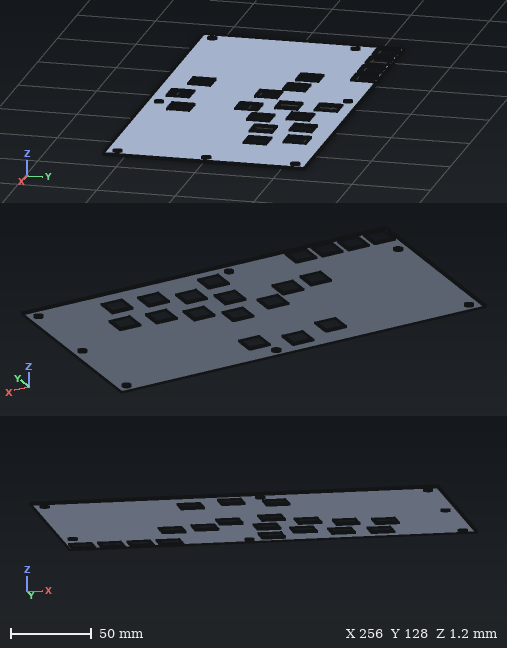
import cadquery as cq

length = 256.0
width = 128.0
thickness = 1.2

cutout_side = 14.0

menu_key_count = 4
menu_key_pitch = 18.5
first_menu_key_x = -118.5
menu_key_y = 54.8

direction_keys = [(-55.5, 21.8), (-34.3, 18.7), (-16.5, 5.5)]

upper_action_keys = [(3.8, 23.3), (24.3, 35.8), (46.8, 43.3), (71.2, 45.5)]
lower_row_shift_x = 7.5
lower_row_shift_y = -23.5
extra_action_key = (2.0, 48.0)

thumb_center_x = -4.9
thumb_spacing = 27.0
outer_thumb_y = -41.0
middle_thumb_y = -48.0

hole_diameter = 5.0
hole_inset = 7.5
back_hole_x = -13.5
left_hole_y = 34.5
front_hole_x = 15.0


def key_centers():
    """Return the centres of all the key cutouts."""
    menu_keys = [(first_menu_key_x + i * menu_key_pitch, menu_key_y) for i in range(menu_key_count)]
    lower_action_keys = [(x + lower_row_shift_x, y + lower_row_shift_y) for x, y in upper_action_keys]
    thumb_keys = [
        (thumb_center_x - thumb_spacing, outer_thumb_y),
        (thumb_center_x, middle_thumb_y),
        (thumb_center_x + thumb_spacing, outer_thumb_y),
    ]
    action_keys = upper_action_keys + lower_action_keys + [extra_action_key]
    return menu_keys + direction_keys + action_keys + thumb_keys


def mounting_hole_centers():
    """Return the centres of the mounting holes, all inset equally from the edges."""
    edge_x = length / 2 - hole_inset
    edge_y = width / 2 - hole_inset
    return [
        (back_hole_x, edge_y),
        (edge_x, edge_y),
        (-edge_x, left_hole_y),
        (edge_x, 0),
        (-edge_x, -edge_y),
        (front_hole_x, -edge_y),
        (edge_x, -edge_y),
    ]


panel = cq.Workplane("XY").box(length, width, thickness)

key_cutters = (
    cq.Workplane("XY")
    .pushPoints(key_centers())
    .rect(cutout_side, cutout_side)
    .extrude(thickness, both=True)
)
hole_cutters = (
    cq.Workplane("XY")
    .pushPoints(mounting_hole_centers())
    .circle(hole_diameter / 2)
    .extrude(thickness, both=True)
)

result = panel.cut(key_cutters).cut(hole_cutters)